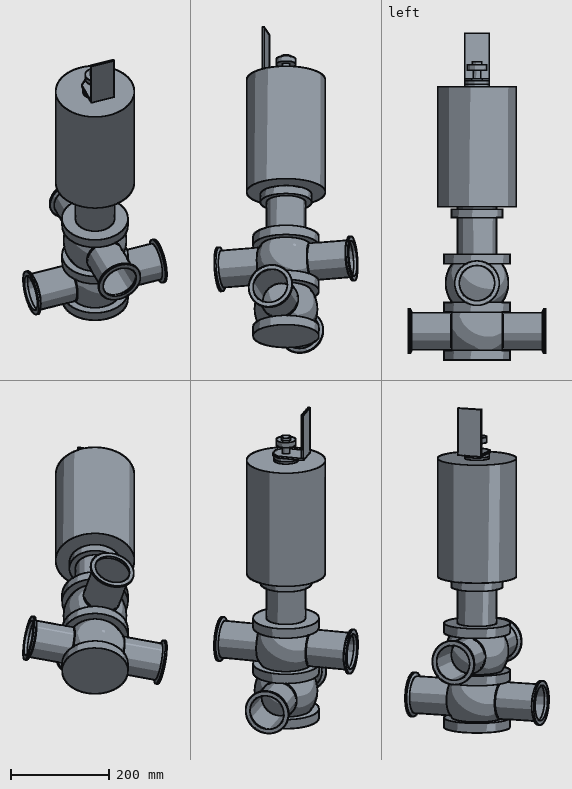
import cadquery as cq
import math

flange_diameter = 135.0
flange_thickness = 20.0
chamber_pitch = 98.0
chamber_count = 2
chamber_diameter = 129.0
chamber_offset = (flange_thickness + chamber_pitch) / 2

pipe_reach = 140.0
pipe_diameter = 76.0
bore_diameter = 72.0
ferrule_diameter = 91.0
ferrule_rim = 4.0
ferrule_taper = 3.5

column_diameter = 80.0
collar_diameter = 105.0
collar_bottom = 291.0
collar_thickness = 17.5
actuator_diameter = 161.0
actuator_bottom = 313.0
actuator_top = 557.5
boss_diameter = 50.0
boss_height = 5.0

indicator_bottom = actuator_top + boss_height
plate_bottom = 569.5
plate_thickness = 4.0
plate_width = boss_diameter
plate_corner = 14.0
plate_right = 44.0
bracket_top = 667.0
stem_diameter = 16.0
knob_diameter = 40.0
knob_bottom = 591.0
knob_thickness = 11.5
cap_diameter = 19.5
cap_top = 608.0


def disc(diameter, bottom, top):
    """Upright cylinder on the Z axis."""
    return cq.Workplane("XY").workplane(offset=bottom).circle(diameter / 2).extrude(top - bottom)


def pipe_pair(center_z):
    """Two opposite pipes along X with a tapered ferrule at each end, solid through the middle."""
    rim_inner = pipe_reach - ferrule_rim
    taper_inner = rim_inner - ferrule_taper
    return (
        cq.Workplane("XZ")
        .moveTo(-pipe_reach, 0)
        .lineTo(-pipe_reach, ferrule_diameter / 2)
        .lineTo(-rim_inner, ferrule_diameter / 2)
        .lineTo(-taper_inner, pipe_diameter / 2)
        .lineTo(taper_inner, pipe_diameter / 2)
        .lineTo(rim_inner, ferrule_diameter / 2)
        .lineTo(pipe_reach, ferrule_diameter / 2)
        .lineTo(pipe_reach, 0)
        .close()
        .revolve(360, (0, 0, 0), (1, 0, 0))
        .translate((0, 0, center_z))
    )


def chamber(center_z):
    """Spherical chamber, trimmed flat where it meets its two flanges."""
    half_height = (chamber_pitch - flange_thickness) / 2
    radius = chamber_diameter / 2
    flat_radius = math.sqrt(radius**2 - half_height**2)
    return (
        cq.Workplane("XZ")
        .moveTo(0, -half_height)
        .lineTo(flat_radius, -half_height)
        .threePointArc((radius, 0), (flat_radius, half_height))
        .lineTo(0, half_height)
        .close()
        .revolve(360, (0, 0, 0), (0, 1, 0))
        .rotate((0, 0, 0), (0, 0, 1), 45)
        .translate((0, 0, center_z))
    )


def chamber_with_pipes(center_z, turn):
    """Chamber and pipe pair; the pipe bores end at the spherical chamber wall."""
    ball = chamber(center_z)
    bore = (
        cq.Workplane("YZ")
        .workplane(offset=-pipe_reach)
        .center(0, center_z)
        .circle(bore_diameter / 2)
        .extrude(2 * pipe_reach)
        .cut(ball)
    )
    branch = pipe_pair(center_z).union(ball).cut(bore)
    return branch.rotate((0, 0, 0), (0, 0, 1), turn)


def make_valve():
    """Valve body with flanges, crossed pipe branches and the actuator above."""
    top_flange = chamber_count * chamber_pitch
    valve = disc(column_diameter, top_flange, actuator_bottom)
    for level in range(chamber_count + 1):
        bottom = level * chamber_pitch
        valve = valve.union(disc(flange_diameter, bottom, bottom + flange_thickness))
    for level in range(chamber_count):
        turn = 90 * (chamber_count - 1 - level)
        valve = valve.union(chamber_with_pipes(level * chamber_pitch + chamber_offset, turn))
    valve = valve.union(disc(collar_diameter, collar_bottom, collar_bottom + collar_thickness))
    valve = valve.union(disc(actuator_diameter, actuator_bottom, actuator_top))
    return valve.union(disc(boss_diameter, actuator_top, indicator_bottom))


def make_bracket():
    """L-shaped plate with two cut corners on its horizontal leg."""
    plate_left = -plate_width / 2
    length = plate_right - plate_left
    foot = (
        cq.Workplane("XY")
        .box(length, plate_width, plate_thickness, centered=(False, True, False))
        .edges("|Z and <X")
        .chamfer(plate_corner)
        .translate((plate_left, 0, plate_bottom))
    )
    upright = (
        cq.Workplane("XY")
        .box(plate_thickness, plate_width, bracket_top - plate_bottom, centered=(False, True, False))
        .translate((plate_right - plate_thickness, 0, plate_bottom))
    )
    return foot.union(upright)


def make_indicator():
    """Base disc, bracket, stem and knob in one piece."""
    knob_top = knob_bottom + knob_thickness
    base = disc(boss_diameter, indicator_bottom, plate_bottom)
    stem = disc(stem_diameter, plate_bottom, knob_bottom)
    knob = disc(knob_diameter, knob_bottom, knob_top)
    cap = disc(cap_diameter, knob_top, cap_top)
    return base.union(make_bracket()).union(stem).union(knob).union(cap)


valve = make_valve()
indicator = make_indicator()

result = cq.Compound.makeCompound([valve.solids().val(), indicator.solids().val()])